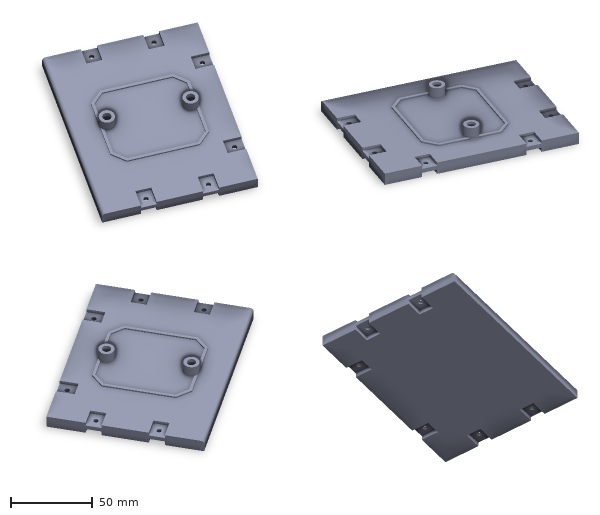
import cadquery as cq

plate_length = 130.0
plate_width = 100.0
total_height = 16.0
plate_thickness = total_height / 2
front_edge_radius = 2.2

notch_width = 10.1
notch_length = 12.0
top_notch_depth = 2.2
bottom_notch_depth = 3.0
notch_hole_diameter = 3.2
side_notch_y = 20.0
rear_notch_x = 35.0

rim_length = 58.2
rim_width = 63.3
rim_corner = 8.2
rim_wall = 2.0
rim_height = 1.0

post_diameter = 10.0
post_x = -2.7
post_spacing = 53.8
post_foot_radius = rim_height
post_bore_diameter = 5.7
pilot_hole_diameter = 4.4
pilot_hole_depth = plate_thickness / 2
post_height = total_height - plate_thickness


def make_plate():
    """Rectangular plate with its upper front edge rounded."""
    plate = cq.Workplane("XY").box(
        plate_length, plate_width, plate_thickness, centered=(True, True, False)
    )
    return plate.edges(">Z and <Y").fillet(front_edge_radius)


def make_notch(x, y, size_x, size_y):
    """Upper and lower pockets joined by a screw hole, all to be removed."""
    notch = cq.Workplane("XY").center(x, y).circle(notch_hole_diameter / 2).extrude(plate_thickness)
    lower = cq.Workplane("XY").center(x, y).rect(size_x, size_y).extrude(bottom_notch_depth)
    upper = (
        cq.Workplane("XY", origin=(x, y, plate_thickness))
        .rect(size_x, size_y)
        .extrude(-top_notch_depth)
    )
    return notch.union(lower).union(upper)


def make_octagon(inset):
    """Octagonal block on the plate, its sides moved inwards by the inset."""
    corner = rim_corner - inset * (2 - 2**0.5)
    return (
        cq.Workplane("XY", origin=(0, 0, plate_thickness))
        .rect(rim_length - 2 * inset, rim_width - 2 * inset)
        .extrude(rim_height)
        .edges("|Z")
        .chamfer(corner)
    )


def make_rim():
    """Thin octagonal wall with an even thickness."""
    return make_octagon(0).cut(make_octagon(rim_wall))


def make_post(y):
    """Round post with a concave fillet around its foot."""
    radius = post_diameter / 2
    foot = radius + post_foot_radius
    diagonal = post_foot_radius * (1 - 0.5**0.5)
    return (
        cq.Workplane("XZ")
        .moveTo(0, 0)
        .lineTo(foot, 0)
        .threePointArc((radius + diagonal, diagonal), (radius, post_foot_radius))
        .lineTo(radius, post_height)
        .lineTo(0, post_height)
        .close()
        .revolve(360, (0, 0, 0), (0, 1, 0))
        .translate((post_x, y, plate_thickness))
    )


def make_post_hole(y):
    """Stepped blind hole: a bore through the post, then a pilot hole into the plate."""
    shoulder = cq.Workplane("XY", origin=(post_x, y, plate_thickness))
    bore = shoulder.circle(post_bore_diameter / 2).extrude(post_height)
    pilot = shoulder.circle(pilot_hole_diameter / 2).extrude(-pilot_hole_depth)
    return bore.union(pilot)


result = make_plate().union(make_rim())

side_notch_x = (plate_length - notch_length) / 2
rear_notch_y = (plate_width - notch_length) / 2
for side in (-1, 1):
    for end in (-1, 1):
        result = result.cut(make_notch(side * side_notch_x, end * side_notch_y, notch_length, notch_width))
    result = result.cut(make_notch(side * rear_notch_x, rear_notch_y, notch_width, notch_length))

for end in (-1, 1):
    post_y = end * post_spacing / 2
    result = result.union(make_post(post_y)).cut(make_post_hole(post_y))